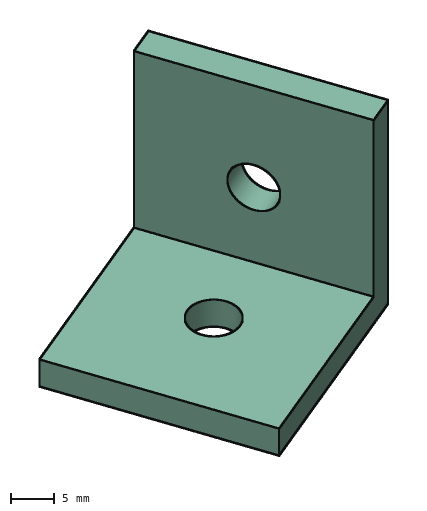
import cadquery as cq

leg_length = 30.0
width = 30.0
thickness = 4.0
hole_diameter = 6.6

half_leg = leg_length / 2
inner_corner_y = half_leg - thickness
inner_corner_z = thickness - half_leg


def make_angle():
    """L-shaped body: base leg at the bottom, upright leg on the +Y side."""
    profile = [
        (-half_leg, -half_leg),
        (half_leg, -half_leg),
        (half_leg, half_leg),
        (inner_corner_y, half_leg),
        (inner_corner_y, inner_corner_z),
        (-half_leg, inner_corner_z),
    ]
    return cq.Workplane("YZ").polyline(profile).close().extrude(width / 2, both=True)


def make_leg_drill(plane, length):
    """Cylinder through the origin, normal to the given plane."""
    return cq.Workplane(plane).circle(hole_diameter / 2).extrude(length, both=True)


result = make_angle()
for leg_plane in ("XY", "XZ"):
    result = result.cut(make_leg_drill(leg_plane, leg_length))